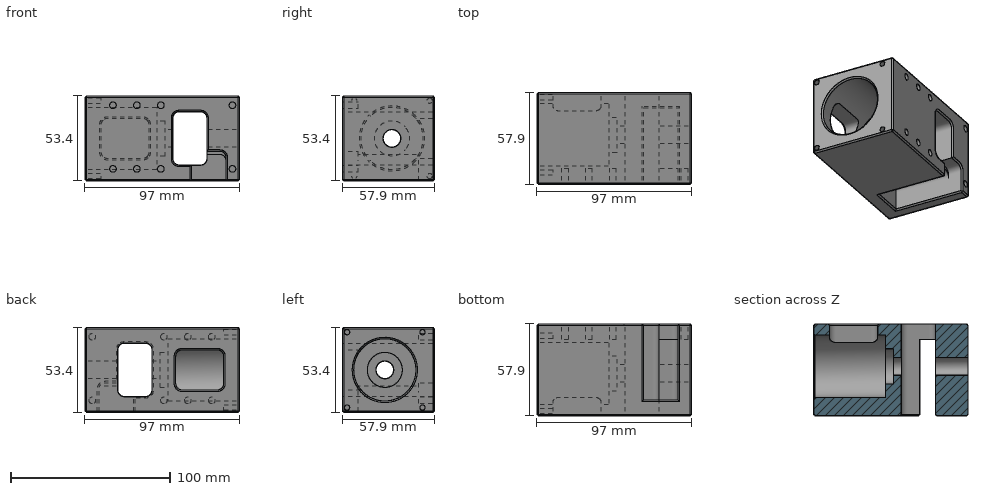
import cadquery as cq

LENGTH = 97.0
WIDTH = 57.9
HEIGHT = 53.4
CHAMFER = 1.0
WALL = 10.0
CORNER_RADIUS = 4.0
FRONT_Y = -WIDTH / 2
BACK_Y = WIDTH / 2
MID_Z = HEIGHT / 2
OVERCUT = 1.0

WINDOW_LEFT = 55.1
WINDOW_RIGHT = 76.4
WINDOW_BOTTOM = 10.0
WINDOW_TOP = HEIGHT - WINDOW_BOTTOM

NOTCH_LEFT = 66.7
NOTCH_RIGHT = 88.4
NOTCH_TOP = 18.6
NOTCH_BACK_Y = FRONT_Y + WALL
SLOT_TOP = 16.7
SLOT_BACK_Y = BACK_Y - WALL

BORE_Y = 2.2
BORE_DIA = 39.1
BORE_END = WINDOW_LEFT - WALL
SEAT_DIA = 22.0
SEAT_DEPTH = WALL / 2
SHAFT_DIA = 11.0

SIDE_WINDOW_LEFT = WALL
SIDE_WINDOW_RIGHT = BORE_END - WALL / 2
SIDE_WINDOW_BOTTOM = 14.2
SIDE_WINDOW_TOP = HEIGHT - SIDE_WINDOW_BOTTOM

END_HOLE_DIA = 3.3
END_HOLE_SPACING = 47.3

SIDE_HOLE_DIA = 4.2
SIDE_HOLE_XS = (17.5, 32.5, 47.5, 92.5)
SIDE_HOLE_ROW_SPACING = 40.0
SIDE_HOLE_MID_Z = 27.5
HOLE_DEPTH = WALL


def rounded_rectangle(x0, x1, z0, z1, radius, y):
    """Rounded rectangle parallel to XZ at the given y, ready to extrude toward +Y."""
    sketch = cq.Sketch().rect(x1 - x0, z1 - z0).vertices().fillet(radius)
    plane = cq.Plane(origin=((x0 + x1) / 2, y, (z0 + z1) / 2), xDir=(-1, 0, 0), normal=(0, 1, 0))
    return cq.Workplane(plane).placeSketch(sketch)


def opening(x0, x1, z0, z1, y0, y1):
    """Cutter along Y with rounded corners."""
    return rounded_rectangle(x0, x1, z0, z1, CORNER_RADIUS, y0).extrude(y1 - y0)


def front_rim(x0, x1, z0, z1):
    """Cutter for the chamfer around an opening in the front face."""
    outline = rounded_rectangle(
        x0 - CHAMFER, x1 + CHAMFER, z0 - CHAMFER, z1 + CHAMFER, CORNER_RADIUS + CHAMFER, FRONT_Y
    )
    return outline.extrude(CHAMFER, taper=45)


def cylinder_x(diameter, x0, x1, y, z):
    """Cylinder along X from x0 to x1."""
    return cq.Workplane("YZ", origin=(x0, y, z)).circle(diameter / 2).extrude(x1 - x0)


def add_window(body):
    sides = (WINDOW_LEFT, WINDOW_RIGHT, WINDOW_BOTTOM, WINDOW_TOP)
    body = body.cut(opening(*sides, FRONT_Y - OVERCUT, BACK_Y + OVERCUT))
    return body.cut(front_rim(*sides))


def add_notch(body):
    below = -2 * CORNER_RADIUS
    sides = (NOTCH_LEFT, NOTCH_RIGHT, below)
    body = body.cut(opening(*sides, NOTCH_TOP, FRONT_Y - OVERCUT, NOTCH_BACK_Y))
    body = body.cut(front_rim(*sides, NOTCH_TOP))
    slot = (
        cq.Workplane("XY")
        .box(NOTCH_RIGHT - NOTCH_LEFT, SLOT_BACK_Y - FRONT_Y, SLOT_TOP, centered=False)
        .edges(">X and >Z")
        .fillet(CORNER_RADIUS)
        .translate((NOTCH_LEFT, FRONT_Y, 0))
    )
    body = body.cut(slot)
    bottom_rim = (
        cq.Workplane("XY")
        .center((NOTCH_LEFT + NOTCH_RIGHT) / 2, (FRONT_Y + SLOT_BACK_Y) / 2)
        .rect(NOTCH_RIGHT - NOTCH_LEFT + 2 * CHAMFER, SLOT_BACK_Y - FRONT_Y + 2 * CHAMFER)
        .extrude(CHAMFER, taper=45)
    )
    return body.cut(bottom_rim)


def add_bore(body):
    mouth = cq.Workplane("YZ", origin=(0, BORE_Y, MID_Z)).circle(BORE_DIA / 2 + CHAMFER)
    body = body.cut(mouth.extrude(CHAMFER, taper=45))
    body = body.cut(cylinder_x(BORE_DIA, 0, BORE_END, BORE_Y, MID_Z))
    body = body.cut(cylinder_x(SEAT_DIA, BORE_END, BORE_END + SEAT_DEPTH, BORE_Y, MID_Z))
    return body.cut(cylinder_x(SHAFT_DIA, BORE_END, LENGTH, BORE_Y, MID_Z))


def add_side_window(body):
    sides = (SIDE_WINDOW_LEFT, SIDE_WINDOW_RIGHT, SIDE_WINDOW_BOTTOM, SIDE_WINDOW_TOP)
    body = body.cut(opening(*sides, BORE_Y, BACK_Y + OVERCUT))
    return body.cut(front_rim(*sides).mirror("XZ"))


def add_end_holes(body):
    half = END_HOLE_SPACING / 2
    for y in (BORE_Y - half, BORE_Y + half):
        for z in (MID_Z - half, MID_Z + half):
            body = body.cut(cylinder_x(END_HOLE_DIA, 0, HOLE_DEPTH, y, z))
    return body


def add_side_holes(body):
    half = SIDE_HOLE_ROW_SPACING / 2
    for x in SIDE_HOLE_XS:
        for z in (SIDE_HOLE_MID_Z - half, SIDE_HOLE_MID_Z + half):
            start = cq.Workplane("XZ", origin=(x, FRONT_Y, z))
            body = body.cut(start.circle(SIDE_HOLE_DIA / 2).extrude(-HOLE_DEPTH))
    return body


block = (
    cq.Workplane("XY")
    .box(LENGTH, WIDTH, HEIGHT)
    .edges()
    .chamfer(CHAMFER)
    .translate((LENGTH / 2, 0, MID_Z))
)
result = add_window(block)
result = add_notch(result)
result = add_bore(result)
result = add_side_window(result)
result = add_end_holes(result)
result = add_side_holes(result)